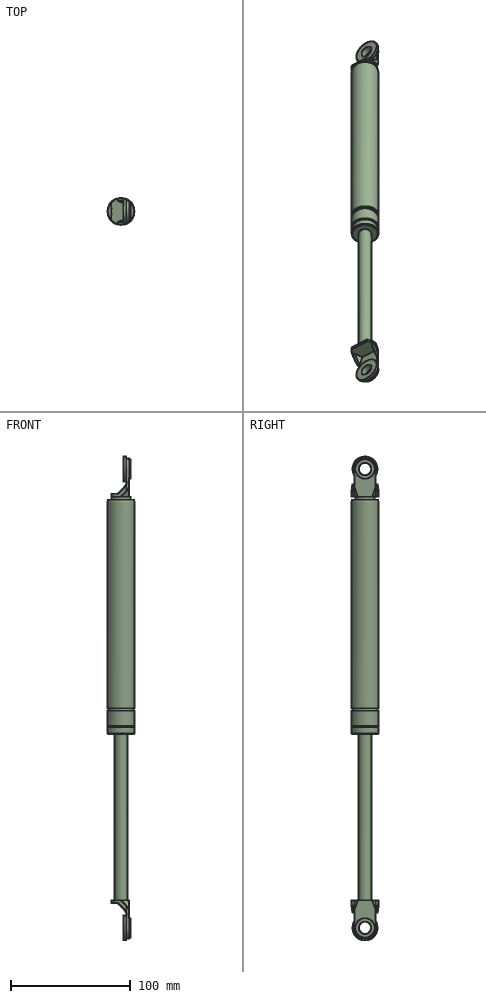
import cadquery as cq

overall_length = 405.0
half_length = overall_length / 2
tube_radius = 11.5

tube_top = 166.5
tube_bottom = -30.0
top_bevel_height = 2.0
top_bevel_inset = 0.5
bottom_bevel = 1.0
neck_radius = 8.0
guide_groove_top = -8.0
guide_groove_width = 2.0
guide_groove_depth = 1.0
seal_groove_top = -22.5
seal_groove_width = 1.2
seal_groove_depth = 0.5

rod_radius = 11.0 / 2

sheet = 2.5
plate_inner_x = 4.5
plate_outer_x = plate_inner_x + sheet
plate_width = 18.0
foot_outer_z = 169.0
foot_inner_z = foot_outer_z + sheet
foot_edge_x = -8.0
gusset_run = 7.3
gusset_rise = 8.0
gusset_inner_y = 6.0
gusset_sag = 0.45
gusset_tip_scale = 0.02

front_flange_radius = 10.5
front_flange_thickness = 2.5
rear_flange_radius = 8.0
rear_flange_thickness = 1.2
barrel_radius = 7.0
eye_hole_radius = 10.0 / 2
eye_z = half_length - front_flange_radius


def rod_along_z(radius, bottom, top):
    return cq.Workplane("XY").workplane(offset=bottom).circle(radius).extrude(top - bottom)


def rod_along_x(radius, start, end):
    """Cylinder along X through the centre of the upper eye."""
    return cq.Workplane("YZ", origin=(start, 0, eye_z)).circle(radius).extrude(end - start)


def ring_groove(top, width, depth):
    bottom = top - width
    outer = rod_along_z(tube_radius + depth, bottom, top)
    return outer.cut(rod_along_z(tube_radius - depth, bottom, top))


def make_tube():
    profile = (
        cq.Workplane("XZ")
        .moveTo(0, tube_bottom)
        .lineTo(tube_radius - bottom_bevel, tube_bottom)
        .lineTo(tube_radius, tube_bottom + bottom_bevel)
        .lineTo(tube_radius, tube_top - top_bevel_height)
        .lineTo(tube_radius - top_bevel_inset, tube_top)
        .lineTo(0, tube_top)
        .close()
    )
    tube = profile.revolve(360, (0, 0, 0), (0, 1, 0))
    tube = tube.cut(ring_groove(guide_groove_top, guide_groove_width, guide_groove_depth))
    tube = tube.cut(ring_groove(seal_groove_top, seal_groove_width, seal_groove_depth))
    return tube.union(rod_along_z(neck_radius, tube_top, foot_outer_z))


def make_rod():
    return rod_along_z(rod_radius, -foot_outer_z, tube_bottom)


def gusset_wire(corner_x, corner_z, y, scale):
    """Closed outline with two straight legs and a hollow arc, in a plane of constant y."""
    run = gusset_run * scale
    rise = gusset_rise * scale
    corner = cq.Vector(corner_x, y, corner_z)
    foot_end = corner + cq.Vector(-run, 0, 0)
    plate_end = corner + cq.Vector(0, 0, rise)
    middle = corner + cq.Vector(-run * gusset_sag, 0, rise * gusset_sag)
    return cq.Wire.assembleEdges([
        cq.Edge.makeLine(corner, foot_end),
        cq.Edge.makeThreePointArc(foot_end, middle, plate_end),
        cq.Edge.makeLine(plate_end, corner),
    ])


def gusset_pair(corner_x, corner_z):
    """Wedges in the fold that grow from a tip to the plate edges, then run on at full size."""
    tip = gusset_wire(corner_x, corner_z, gusset_inner_y, gusset_tip_scale)
    base = gusset_wire(corner_x, corner_z, plate_width / 2, 1)
    wedge = cq.Workplane(cq.Solid.makeLoft([tip, base], True))
    run_on = cq.Vector(0, tube_radius - plate_width / 2, 0)
    wedge = wedge.union(cq.Workplane(cq.Solid.extrudeLinear(base, [], run_on)))
    return wedge.union(wedge.mirror("XZ"))


def slab_on_foot_plane(start_x, width, height):
    """Block from start_x to the outer plate face, rising from the outer foot face."""
    slab = cq.Workplane("XY").box(plate_outer_x - start_x, width, height, centered=(False, True, False))
    return slab.translate((start_x, 0, foot_outer_z))


def make_bracket():
    """Upper bracket; its pressed fold corners are raised inside and hollow outside."""
    envelope = rod_along_z(tube_radius, foot_outer_z, eye_z)
    foot = slab_on_foot_plane(foot_edge_x, 2 * tube_radius, sheet)
    plate = slab_on_foot_plane(plate_inner_x, plate_width, eye_z - foot_outer_z)
    bracket = foot.union(gusset_pair(plate_inner_x, foot_inner_z)).intersect(envelope)
    bracket = bracket.union(plate).cut(gusset_pair(plate_outer_x, foot_outer_z))
    bracket = bracket.union(rod_along_x(plate_width / 2, plate_inner_x, plate_outer_x))
    return bracket.cut(rod_along_x(barrel_radius, plate_inner_x, plate_outer_x))


def make_bushing():
    """Upper flanged bushing that clamps the bracket plate."""
    front = plate_inner_x - front_flange_thickness
    rear = plate_outer_x + rear_flange_thickness
    bushing = rod_along_x(barrel_radius, front, rear)
    bushing = bushing.union(rod_along_x(front_flange_radius, front, plate_inner_x))
    bushing = bushing.union(rod_along_x(rear_flange_radius, plate_outer_x, rear))
    return bushing.cut(rod_along_x(eye_hole_radius, front, rear))


bodies = [make_tube().val(), make_rod().val()]

for make_end_body in (make_bracket, make_bushing):
    upper = make_end_body()
    lower = upper.mirror("XY")
    bodies += [upper.val(), lower.val()]

result = cq.Compound.makeCompound(bodies)